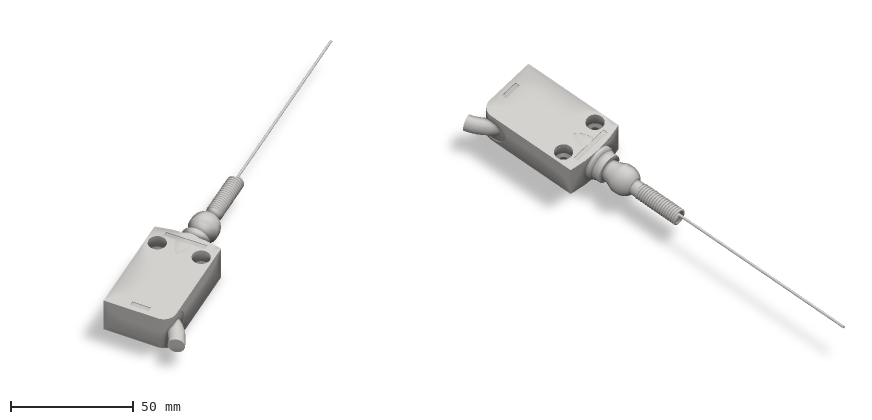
import cadquery as cq
import math


overall_length = 187.0

housing_width = 30.1
housing_thickness = 16.3
housing_length = 50.1
shoulder_length = 48.2
corner_radius = 5.6
half_width = housing_width / 2
top_face = housing_thickness / 2

hole_spacing = 19.8
hole_y = 40.0
hole_diameter = 4.0
counterbore_diameter = 7.9
counterbore_depth = 6.0

mark_depth = 0.4
pointer_depth = 0.2
strip_width = 18.7
strip_top = 47.3
strip_bottom = 45.0
pointer_width = 6.4
pointer_middle_width = 5.5
pointer_tip = 37.2
slot_width = 8.5
slot_height = 2.2
slot_y = 3.4
slot_corner_radius = 0.5

cable_radius = 3.5
cable_bend_radius = 22.6
cable_bend_x = -2.2
cable_bend_y = -10.0
cable_start_angle = math.radians(55)
cable_end_angle = math.radians(16)

recess_diameter = 13.5
recess_depth = 0.4
recess_y = 6.5

flange_radius = 7.7
flange_top = 51.2
flange_rim_radius = 7.1
flange_rim_top = 51.8
groove_radius = 6.4
groove_top = 52.2
bead_radius = 7.0
bead_y = 52.9
collar_radius = 6.5
collar_bottom = 53.5
collar_top = 55.9
waist_radius = 4.5
taper_middle_radius = 5.2
ball_radius = 6.5
ball_bottom = 62.0
ball_centre_y = 64.3
ball_top_radius = 4.1
stem_radius = 3.4
stem_bottom = 69.7
stem_top = 73.0

wire_radius = 0.58
coil_radius = 3.08
coil_pitch = 1.2
coil_turns = 17.4
coil_start_y = 93.8
coil_start_angle = 76
cable_lowest_y = cable_bend_y + (cable_bend_radius - cable_radius) * math.sin(cable_end_angle)
rod_end_y = cable_lowest_y + overall_length


def make_housing():
    """Block with a bowed end at +Y and one rounded corner beside the cable."""
    block = (
        cq.Workplane("XY", origin=(0, 0, -top_face))
        .moveTo(-half_width, 0)
        .lineTo(half_width, 0)
        .lineTo(half_width, shoulder_length)
        .threePointArc((0, housing_length), (-half_width, shoulder_length))
        .close()
        .extrude(housing_thickness)
    )
    cable_corner = cq.selectors.NearestToPointSelector((half_width, 0, 0))
    return block.edges(cable_corner).fillet(corner_radius)


def cut_mounting_holes(body):
    return (
        body.faces(">Z")
        .workplane(origin=(0, 0, top_face))
        .pushPoints([(-hole_spacing / 2, hole_y), (hole_spacing / 2, hole_y)])
        .cboreHole(hole_diameter, counterbore_diameter, counterbore_depth)
    )


def engrave_marks(body):
    """Cut the strip, the pointer below it and the small slot at the flat end."""
    floor = cq.Workplane("XY", origin=(0, 0, top_face - mark_depth))
    strip_height = strip_top - strip_bottom
    strip = floor.center(0, strip_bottom + strip_height / 2).rect(strip_width, strip_height)
    strip = strip.extrude(mark_depth)
    pointer_half = pointer_width / 2
    flank_x = pointer_middle_width / 2
    flank_y = (strip_bottom + pointer_tip) / 2
    pointer = (
        cq.Workplane("XY", origin=(0, 0, top_face - pointer_depth))
        .moveTo(-pointer_half, strip_bottom)
        .lineTo(pointer_half, strip_bottom)
        .threePointArc((flank_x, flank_y), (0, pointer_tip))
        .threePointArc((-flank_x, flank_y), (-pointer_half, strip_bottom))
        .close()
        .extrude(pointer_depth)
    )
    slot = floor.center(0, slot_y).rect(slot_width, slot_height).extrude(mark_depth)
    slot = slot.edges("|Z and <Y").fillet(slot_corner_radius)
    return body.cut(strip).cut(pointer).cut(slot)


def cut_cable_recess(body):
    recess_floor = cq.Workplane("YZ", origin=(half_width - recess_depth, recess_y, 0))
    return body.cut(recess_floor.circle(recess_diameter / 2).extrude(recess_depth))


def cable_point(angle):
    return (
        cable_bend_x + cable_bend_radius * math.cos(angle),
        cable_bend_y + cable_bend_radius * math.sin(angle),
    )


def make_cable():
    """Round cable swept along its bend, starting inside the housing."""
    end_x, end_y = cable_point(cable_end_angle)
    middle = cable_point((cable_start_angle + cable_end_angle) / 2)
    path = cq.Workplane("XY").moveTo(end_x, end_y).threePointArc(middle, cable_point(cable_start_angle))
    end_direction = (-math.sin(cable_end_angle), math.cos(cable_end_angle), 0)
    end_plane = cq.Plane(origin=(end_x, end_y, 0), xDir=(0, 0, 1), normal=end_direction)
    return cq.Workplane(end_plane).circle(cable_radius).sweep(path)


def make_neck():
    """Flange, bead, collar, ball and stem revolved about the Y axis."""
    taper_middle = (taper_middle_radius, (collar_top + ball_bottom) / 2)
    ball_top = ball_centre_y + math.sqrt(ball_radius**2 - ball_top_radius**2)
    middle_angle = math.radians(30)
    ball_middle = (
        ball_radius * math.cos(middle_angle),
        ball_centre_y + ball_radius * math.sin(middle_angle),
    )
    return (
        cq.Workplane("XY")
        .moveTo(0, shoulder_length)
        .lineTo(flange_radius, shoulder_length)
        .lineTo(flange_radius, flange_top)
        .lineTo(flange_rim_radius, flange_rim_top)
        .lineTo(groove_radius, groove_top)
        .lineTo(bead_radius, bead_y)
        .lineTo(collar_radius, collar_bottom)
        .lineTo(collar_radius, collar_top)
        .lineTo(waist_radius, collar_top)
        .threePointArc(taper_middle, (ball_radius, ball_bottom))
        .lineTo(ball_radius, ball_centre_y)
        .threePointArc(ball_middle, (ball_top_radius, ball_top))
        .lineTo(stem_radius, stem_bottom)
        .lineTo(stem_radius, stem_top)
        .lineTo(0, stem_top)
        .close()
        .revolve(360, (0, 0, 0), (0, 1, 0))
    )


def make_spring_path():
    """Left-handed helix about Z, built as half-turn edges joined end to end."""
    edges = []
    turns_done = 0
    half_turn = 0.5
    while turns_done < coil_turns:
        turns = min(half_turn, coil_turns - turns_done)
        piece = cq.Wire.makeHelix(coil_pitch, coil_pitch * turns, coil_radius, lefthand=True)
        piece = piece.rotate(cq.Vector(0, 0, 0), cq.Vector(0, 0, 1), -360 * turns_done)
        edges += piece.translate(cq.Vector(0, 0, coil_pitch * turns_done)).Edges()
        turns_done += turns
    return cq.Workplane(cq.Wire.assembleEdges(edges))


def make_spring():
    """Coil turned to run from its free end down onto the stem."""
    section = cq.Workplane("XZ", origin=(coil_radius, 0, 0)).circle(wire_radius)
    coil = section.sweep(make_spring_path(), isFrenet=True)
    coil = coil.rotate((0, 0, 0), (0, 0, 1), coil_start_angle)
    return coil.rotate((0, 0, 0), (1, 0, 0), 90).translate((0, coil_start_y, 0))


def make_rod():
    """Straight wire with a round elbow where it meets the free end of the coil."""
    angle = math.radians(coil_start_angle)
    start = (coil_radius * math.cos(angle), coil_start_y, coil_radius * math.sin(angle))
    rod = cq.Workplane(cq.Plane(origin=start, xDir=(1, 0, 0), normal=(0, 1, 0)))
    rod = rod.circle(wire_radius).extrude(rod_end_y - coil_start_y)
    elbow = cq.Workplane("XY", origin=start).sphere(wire_radius)
    return rod.union(elbow)


housing = make_housing()
housing = cut_mounting_holes(housing)
housing = engrave_marks(housing)
housing = cut_cable_recess(housing)
actuator = make_neck().union(make_spring()).union(make_rod())
result = housing.union(make_cable()).union(actuator)